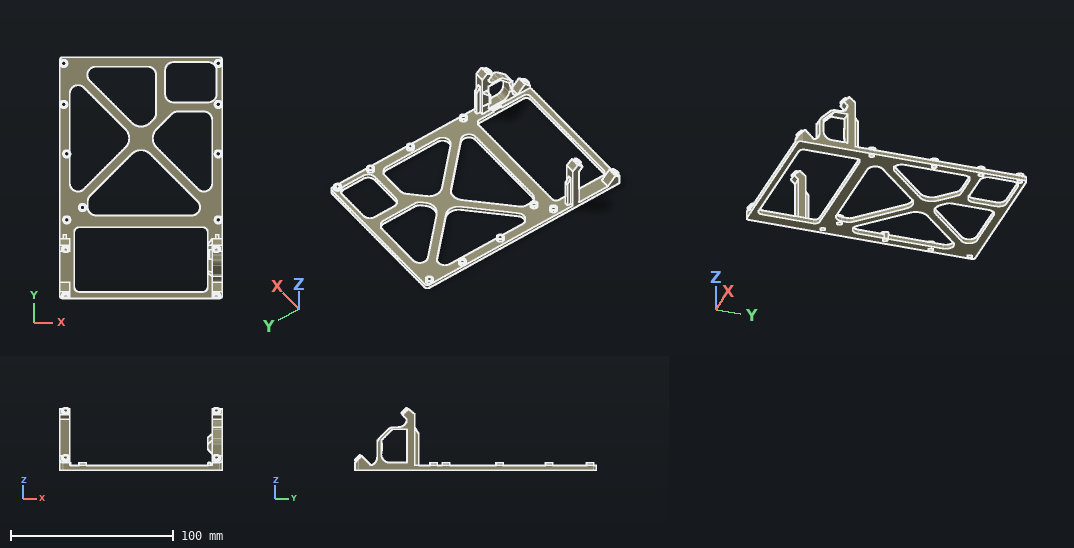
import cadquery as cq
import math

plate_width = 100.0
plate_length = 148.5
plate_thickness = 3.0
plate_corner_radius = 2.0
half_width = plate_width / 2

hub_y = 98.5
bar_half_diagonal = 4.0
window_radius = 5.0
hub_radius = 8.0
side_x = 43.7
rear_window_y = 142.5
rear_window_x = 9.2
right_window_y = 114.9
front_window_y = 51.2
front_window_x = -32.7

small_window = (14.9, 46.4, 120.7, 145.3)
large_window = (-41.0, 41.0, 4.2, 43.8)
large_window_radius = 3.0

boss_diameter = 4.65
bore_diameter = 3.15
boss_height = 1.75
edge_boss_x = 47.5
inset_boss_x = 45.65
boss_points = [
    (-edge_boss_x, 144.6),
    (edge_boss_x, 144.6),
    (-edge_boss_x, 119.4),
    (edge_boss_x, 119.4),
    (-inset_boss_x, 89.0),
    (edge_boss_x, 89.0),
    (-inset_boss_x, 48.4),
    (edge_boss_x, 48.4),
    (-35.9, 56.0),
]

post_width = half_width - side_x
post_front_y = 31.9
post_depth = 4.9
post_back_y = post_front_y + post_depth
post_back_top_z = 34.6
head_seat_y = 31.0
head_seat_z = 35.93
head_half_step = 1.87
rest_half_step = 2.1
rest_front_z = 4.7
rest_seat_y = 2.3
rest_seat_z = rest_front_z + rest_seat_y
seat_boss_x = 46.3
seat_boss_height = 1.25
seat_boss_root = 1.0
seat_bore_depth = 4.0

rib_width = 2.1
rib_depth = 2.5
rib_top_z = 26.3
rib_slope_height = 3.9

bracket_radius = 5.0
bracket_top_z = 26.6
bracket_inner_top_z = 25.2
bracket_floor_z = 4.8
bracket_front_y = 13.6
bracket_wall = 2.7
bracket_diagonal_thickness = 1.85
bracket_slope_top_y = 21.85

catch_tip_x = 41.0
front_catch = ((bracket_front_y, 16.3), (9.9, 18.4), (15.9, 16.8), (13.2, 15.9))
post_catch = ((33.1, post_back_y), (10.0, 22.5), (32.5, 33.4), (12.8, 20.1))
floor_catch_start_y = 24.1
floor_catch_length = 5.8
floor_catch_crest_x = 41.6
floor_catch_crest_width = 0.7
floor_catch_tip_z = 4.0
floor_catch_root_z = 3.4


def polygon_prism_x(points, x_min, x_max):
    """Extrude a closed (Y, Z) outline from x_min to x_max."""
    return cq.Workplane("YZ").workplane(offset=x_min).polyline(points).close().extrude(x_max - x_min)


def window(points, radii):
    """Cutter through the plate whose corner i is rounded by radii[i]."""
    cutter = cq.Workplane("XY").polyline(points).close().extrude(plate_thickness)
    for (x, y), radius in zip(points, radii):
        corner = cq.selectors.NearestToPointSelector((x, y, plate_thickness / 2))
        cutter = cutter.edges("|Z").edges(corner).fillet(radius)
    return cutter


def rectangle_window(bounds, radius):
    x_min, x_max, y_min, y_max = bounds
    corners = [(x_min, y_min), (x_max, y_min), (x_max, y_max), (x_min, y_max)]
    return window(corners, [radius] * 4)


def rising_bar_y(x, side):
    """Y on the upper (side=1) or lower (side=-1) edge of the bar rising with X."""
    return hub_y + x + side * bar_half_diagonal


def falling_bar_y(x, side):
    """Y on the upper (side=1) or lower (side=-1) edge of the bar falling with X."""
    return hub_y - x + side * bar_half_diagonal


def plate_windows():
    left = window(
        [
            (-side_x, rising_bar_y(-side_x, 1)),
            (-bar_half_diagonal, hub_y),
            (-side_x, falling_bar_y(-side_x, -1)),
        ],
        [window_radius, hub_radius, window_radius],
    )
    rear = window(
        [
            (hub_y + bar_half_diagonal - rear_window_y, rear_window_y),
            (rear_window_x, rear_window_y),
            (rear_window_x, rising_bar_y(rear_window_x, 1)),
            (0, hub_y + bar_half_diagonal),
        ],
        [window_radius, window_radius, window_radius, hub_radius],
    )
    right = window(
        [
            (bar_half_diagonal, hub_y),
            (right_window_y - hub_y + bar_half_diagonal, right_window_y),
            (side_x, right_window_y),
            (side_x, falling_bar_y(side_x, 1)),
        ],
        [hub_radius, window_radius, window_radius, window_radius],
    )
    front = window(
        [
            (0, hub_y - bar_half_diagonal),
            (front_window_x, rising_bar_y(front_window_x, -1)),
            (front_window_x, front_window_y),
            (hub_y - bar_half_diagonal - front_window_y, front_window_y),
        ],
        [hub_radius, window_radius, window_radius, window_radius],
    )
    small = rectangle_window(small_window, window_radius)
    large = rectangle_window(large_window, large_window_radius)
    return [left, rear, right, front, small, large]


def plate_blank(height):
    blank = cq.Workplane("XY").box(plate_width, plate_length, height, centered=(True, False, False))
    return blank.edges("|Z").fillet(plate_corner_radius)


def post(x_min):
    """Upright post whose head leans forward and ends in a 45 degree seat."""
    seat_top_y = head_seat_y + head_half_step
    seat_top_z = head_seat_z + head_half_step
    seat_low_y = head_seat_y - head_half_step
    seat_low_z = head_seat_z - head_half_step
    outline = [
        (post_front_y, 0),
        (post_back_y, 0),
        (post_back_y, post_back_top_z),
        (seat_top_y, seat_top_z),
        (seat_low_y, seat_low_z),
        (post_front_y, seat_low_z - (post_front_y - seat_low_y)),
    ]
    return polygon_prism_x(outline, x_min, x_min + post_width)


def rib(x_min):
    """Thin rib with a sloped top behind a post."""
    middle = x_min + post_width / 2
    outline = [
        (post_back_y, 0),
        (post_back_y + rib_depth, 0),
        (post_back_y + rib_depth, rib_top_z - rib_slope_height),
        (post_back_y, rib_top_z),
    ]
    return polygon_prism_x(outline, middle - rib_width / 2, middle + rib_width / 2)


def front_rest(x_min):
    """Wedge at the front corner of the plate, trimmed by the plate's rounded corner."""
    top_y = 2 * rest_half_step
    top_z = rest_front_z + top_y
    outline = [
        (0, 0),
        (0, rest_front_z),
        (top_y, top_z),
        (top_y + top_z - plate_thickness, plate_thickness),
        (top_y + top_z - plate_thickness, 0),
    ]
    return polygon_prism_x(outline, x_min, x_min + post_width).intersect(plate_blank(top_z))


def seat_cylinder(x, y, z, diameter, start, length):
    """Cylinder square to a 45 degree face, from start along its outward normal."""
    normal = cq.Vector(0, -1, 1).normalized()
    base = cq.Vector(x, y, z) + normal * start
    return cq.Workplane(cq.Solid.makeCylinder(diameter / 2, length, base, normal))


def bracket():
    """Ring joining post and plate: floor, front wall, sloped corner and top strip."""
    bracket_middle_x = (side_x + half_width) / 2
    slope_foot_z = bracket_top_z - (bracket_slope_top_y - bracket_front_y)
    outer = polygon_prism_x(
        [
            (post_front_y, 0),
            (post_front_y, bracket_top_z),
            (bracket_slope_top_y, bracket_top_z),
            (bracket_front_y, slope_foot_z),
            (bracket_front_y, 0),
        ],
        side_x,
        half_width,
    )
    for y, z in [(bracket_slope_top_y, bracket_top_z), (bracket_front_y, slope_foot_z)]:
        corner = cq.selectors.NearestToPointSelector((bracket_middle_x, y, z))
        outer = outer.edges("|X").edges(corner).fillet(bracket_radius)

    inner_front_y = bracket_front_y + bracket_wall
    inner_slope_offset = bracket_slope_top_y - bracket_top_z + bracket_diagonal_thickness * math.sqrt(2)
    opening = polygon_prism_x(
        [
            (post_front_y, bracket_floor_z),
            (post_front_y, bracket_inner_top_z),
            (inner_slope_offset + bracket_inner_top_z, bracket_inner_top_z),
            (inner_front_y, inner_front_y - inner_slope_offset),
            (inner_front_y, bracket_floor_z),
        ],
        side_x,
        half_width,
    )
    corner = cq.selectors.NearestToPointSelector((bracket_middle_x, inner_front_y, bracket_floor_z))
    opening = opening.edges("|X").edges(corner).fillet(bracket_radius)

    ring = outer.cut(opening)
    ring = ring.union(concave_fillet(post_front_y, bracket_top_z))
    return ring.union(concave_fillet(bracket_front_y, plate_thickness))


def concave_fillet(corner_y, corner_z):
    """Fillet across the bracket width, between a wall on its +Y side and a surface below."""
    return (
        cq.Workplane("YZ")
        .workplane(offset=side_x)
        .moveTo(corner_y, corner_z)
        .lineTo(corner_y, corner_z + bracket_radius)
        .radiusArc((corner_y - bracket_radius, corner_z), bracket_radius)
        .close()
        .extrude(post_width)
    )


def tapered_catch(base_y, base_z, tip_y, tip_z):
    """Four-sided catch tapering from the bracket's inner face to its tip."""
    def rectangle(x, y_range, z_range):
        y_min, y_max = y_range
        z_min, z_max = z_range
        corners = [(y_min, z_min), (y_max, z_min), (y_max, z_max), (y_min, z_max)]
        points = [cq.Vector(x, y, z) for y, z in corners]
        return cq.Wire.makePolygon(points, close=True)

    base = rectangle(side_x, base_y, base_z)
    tip = rectangle(catch_tip_x, tip_y, tip_z)
    return cq.Workplane(cq.Solid.makeLoft([base, tip], True))


def floor_catch():
    """Low ridge on the plate beside the bracket floor."""
    outline = [
        (catch_tip_x, 0),
        (catch_tip_x, floor_catch_tip_z),
        (floor_catch_crest_x, bracket_floor_z),
        (floor_catch_crest_x + floor_catch_crest_width, bracket_floor_z),
        (side_x, floor_catch_root_z),
        (side_x, 0),
    ]
    end_y = floor_catch_start_y + floor_catch_length
    ridge = cq.Workplane("XZ", origin=(0, end_y, 0)).polyline(outline).close()
    return ridge.extrude(floor_catch_length)


def build():
    part = plate_blank(plate_thickness)
    for cutter in plate_windows():
        part = part.cut(cutter)

    for x_min in (-half_width, side_x):
        part = part.union(post(x_min)).union(rib(x_min)).union(front_rest(x_min))

    part = part.union(bracket())
    part = part.union(tapered_catch(*front_catch))
    part = part.union(tapered_catch(*post_catch))
    part = part.union(floor_catch())

    bosses = cq.Workplane("XY").pushPoints(boss_points)
    part = part.union(bosses.circle(boss_diameter / 2).extrude(plate_thickness + boss_height))
    part = part.cut(bosses.circle(bore_diameter / 2).extrude(plate_thickness + boss_height))

    for x in (-seat_boss_x, seat_boss_x):
        for y, z in ((head_seat_y, head_seat_z), (rest_seat_y, rest_seat_z)):
            boss_length = seat_boss_root + seat_boss_height
            part = part.union(seat_cylinder(x, y, z, boss_diameter, -seat_boss_root, boss_length))
            bore_length = seat_bore_depth + seat_boss_height
            part = part.cut(seat_cylinder(x, y, z, bore_diameter, -seat_bore_depth, bore_length))
    return part


result = build()